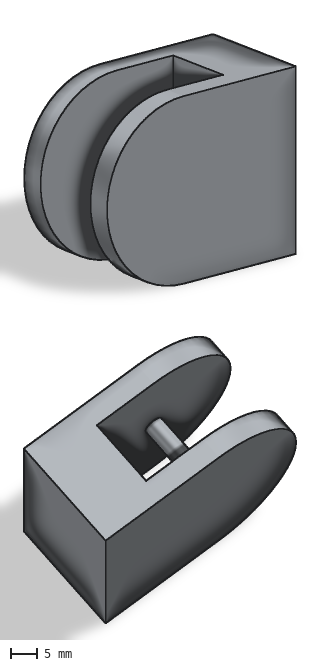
import cadquery as cq

length = 47.0
width = 25.0
height = 38.0

cheek_thickness = 5.0
back_thickness = 14.0
pin_diameter = 4.0

nose_radius = height / 2
back_y = length - nose_radius
slot_width = width - 2 * cheek_thickness
slot_end_y = back_y - back_thickness


def clamp_body():
    """Block with a flat back and a full-round nose toward -Y."""
    return (
        cq.Workplane("YZ")
        .moveTo(back_y, -nose_radius)
        .lineTo(0, -nose_radius)
        .threePointArc((-nose_radius, 0), (0, nose_radius))
        .lineTo(back_y, nose_radius)
        .close()
        .extrude(width / 2, both=True)
    )


def slot():
    """Full-height slot, open at the nose, that separates the two cheeks."""
    slot_length = slot_end_y + nose_radius
    slot_center_y = (slot_end_y - nose_radius) / 2
    return cq.Workplane("XY").box(slot_width, slot_length, height).translate((0, slot_center_y, 0))


def pin():
    """Round pin bridging the slot, ending inside both cheeks."""
    half_length = (slot_width + cheek_thickness) / 2
    return cq.Workplane("YZ").circle(pin_diameter / 2).extrude(half_length, both=True)


result = clamp_body().cut(slot()).union(pin())